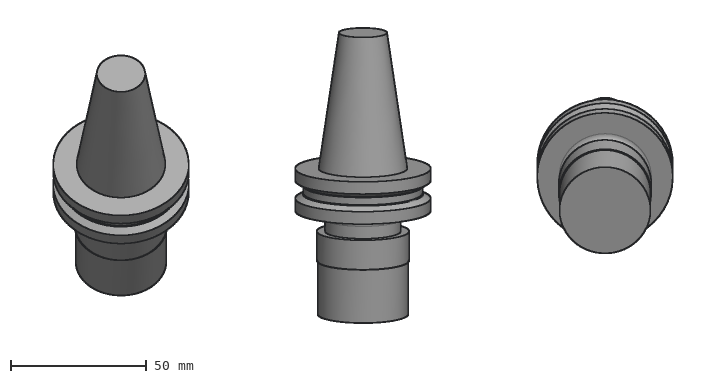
import cadquery as cq
import math


total_height = 105.8
body_height = 20.0
collar_height = 11.2
flange_bottom = 38.9
flange_thickness = 15.9
gauge_offset = 3.2
groove_depth_below_gauge = 11.1
groove_floor_width = 3.2

body_diameter = 33.5
collar_diameter = 34.1
neck_diameter = 28.0
flange_diameter = 50.0
groove_diameter = 44.05
gauge_diameter = 31.75

neck_fillet = 3.0
groove_fillet = 0.4
collar_chamfer = 0.2
groove_wall_angle = 30.0
taper = 7 / 24

collar_top = body_height + collar_height
flange_top = flange_bottom + flange_thickness
gauge_height = flange_top + gauge_offset
groove_center = gauge_height - groove_depth_below_gauge


def taper_radius(height):
    """Radius of the taper at a given height."""
    return (gauge_diameter - taper * (height - gauge_height)) / 2


def cylinder(diameter, bottom, top):
    """Solid cylinder on the Z axis between two heights."""
    return cq.Workplane("XY").workplane(offset=bottom).circle(diameter / 2).extrude(top - bottom)


def revolve_profile(profile):
    """Full turn of a closed XZ profile about the Z axis."""
    return profile.revolve(360, (0, 0, 0), (0, 1, 0))


def make_shank():
    """Bottom cylinder with the slightly larger collar above it, chamfered at its lower edge."""
    body = cylinder(body_diameter, 0, body_height)
    collar = cylinder(collar_diameter, body_height, collar_top).faces("<Z").chamfer(collar_chamfer)
    return body.union(collar)


def make_neck():
    """Neck that flares into the underside of the flange with a concave fillet."""
    neck_radius = neck_diameter / 2
    flare_radius = neck_radius + neck_fillet
    fillet_start = flange_bottom - neck_fillet
    arc_offset = neck_fillet * (1 - math.sqrt(0.5))
    profile = (
        cq.Workplane("XZ")
        .moveTo(0, collar_top)
        .lineTo(neck_radius, collar_top)
        .lineTo(neck_radius, fillet_start)
        .threePointArc(
            (neck_radius + arc_offset, flange_bottom - arc_offset),
            (flare_radius, flange_bottom),
        )
        .lineTo(0, flange_bottom)
        .close()
    )
    return revolve_profile(profile)


def make_flange():
    """Flange with a trapezoidal gripper groove, rounded at its floor, around its rim."""
    rim_radius = flange_diameter / 2
    floor_radius = groove_diameter / 2
    half_floor = groove_floor_width / 2
    wall_rise = (rim_radius - floor_radius) * math.tan(math.radians(groove_wall_angle))
    half_mouth = half_floor + wall_rise
    profile = (
        cq.Workplane("XZ")
        .moveTo(0, flange_bottom)
        .lineTo(rim_radius, flange_bottom)
        .lineTo(rim_radius, groove_center - half_mouth)
        .lineTo(floor_radius, groove_center - half_floor)
        .lineTo(floor_radius, groove_center + half_floor)
        .lineTo(rim_radius, groove_center + half_mouth)
        .lineTo(rim_radius, flange_top)
        .lineTo(0, flange_top)
        .close()
    )
    groove_floor_edges = cq.selectors.RadiusNthSelector(0)
    return revolve_profile(profile).edges("%CIRCLE").edges(groove_floor_edges).fillet(groove_fillet)


def make_taper():
    """Steep taper from the flange to the top face."""
    profile = (
        cq.Workplane("XZ")
        .moveTo(0, flange_top)
        .lineTo(taper_radius(flange_top), flange_top)
        .lineTo(taper_radius(total_height), total_height)
        .lineTo(0, total_height)
        .close()
    )
    return revolve_profile(profile)


result = make_shank().union(make_neck()).union(make_flange()).union(make_taper())